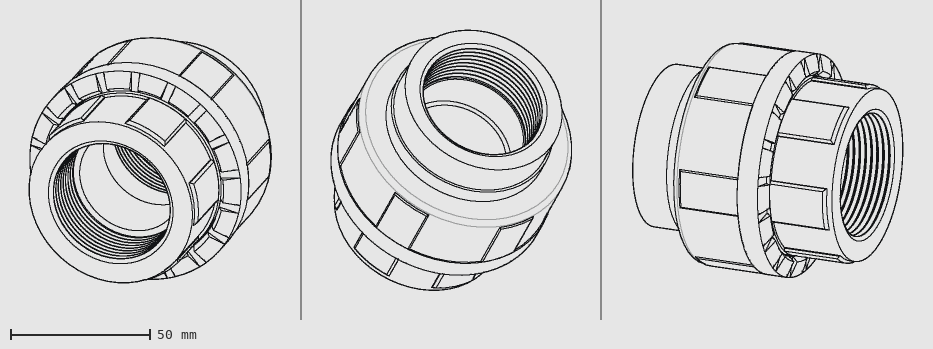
import cadquery as cq
import math

AXIS_YAW = 1.7
AXIS_PITCH = -0.35

SEAT_DIA = 65.7
TAIL_NECK_DIA = 60.8
PADS_PER_RING = 6

COLLAR_FRONT = 24.0
SEAT_FRONT = 27.0
JOINT = 44.2
NUT_SHOULDER = 54.0
NUT_BACK = 58.9
TAIL_STEP = 65.3
TAIL_BACK = 79.0

END_DIA = 62.65
END_BORE_DIA = 38.9
COLLAR_DIA = 64.95
END_PAD_DIA = 64.8
END_PAD_WIDTH = 16.9
END_PAD_BEVEL = 0.8
END_PAD_END_BEVEL = 1.2
END_PAD_FRONT = 2.05
END_PAD_TURN = -6.2

THREAD_MAJOR_DIA = 47.8
THREAD_MINOR_DIA = 44.8
THREAD_END_DIA = 43.8
THREAD_PITCH = 2.3
THREAD_COUNT = 8
THREAD_CREST = 0.3
THREAD_DEPTH = 20.1

NUT_DIA = 80.0
BAND_DIA = 81.0
NUT_PAD_DIA = 80.8
BAND_FRONT = 25.1
BAND_BACK = 33.1
NUT_EDGE_RADIUS = 2.0
NUT_PAD_WIDTH = 14.65
NUT_PAD_BEVEL = 0.4
NUT_PAD_END_BEVEL = 0.65
NUT_PAD_SETBACK = 2.8

TOOTH_TIP_DIA = 69.0
TOOTH_HEIGHT = 2.0
SLOT_COUNT = 18
SLOT_WIDTH = 3.2
FIRST_SLOT_TURN = 90

TAIL_DIA = 59.0
TAIL_BORE_DIA = 42.5

PAD_ROOT = 0.8


def turned(points):
    """Revolve an (r, y) outline about the Y axis."""
    return cq.Workplane("XY").polyline(points).close().revolve(360, (0, 0, 0), (0, 1, 0))


def cylinder(dia, y_start, y_end):
    return turned([(0, y_start), (dia / 2, y_start), (dia / 2, y_end), (0, y_end)])


def pad_ring(base_dia, top_dia, y_plain, y_bevel, end_bevel, width, side_bevel, turn):
    """Raised pads with bevelled sides, plain at y_plain and bevelled at the y_bevel end."""
    base = base_dia / 2
    top = top_dia / 2
    root = base - PAD_ROOT
    inward = math.copysign(end_bevel, y_plain - y_bevel)
    reach = top + PAD_ROOT
    ring = turned([
        (root, y_plain), (top, y_plain), (top, y_bevel + inward), (base, y_bevel), (root, y_bevel),
    ])
    slope = side_bevel / (top - base)
    foot = math.sqrt(base ** 2 - (width / 2) ** 2)

    def half_width(radius):
        return width / 2 - slope * (radius - foot)

    sector = (
        cq.Workplane("XZ", origin=(0, min(y_plain, y_bevel), 0))
        .polyline([
            (0, -half_width(root)), (root, -half_width(root)), (reach, -half_width(reach)),
            (reach, half_width(reach)), (root, half_width(root)), (0, half_width(root)),
        ])
        .close()
        .extrude(-abs(y_plain - y_bevel))
    )
    pad = ring.intersect(sector)
    step = 360 / PADS_PER_RING
    return [pad.rotate((0, 0, 0), (0, 1, 0), turn + i * step) for i in range(PADS_PER_RING)]


def thread_cutter():
    """Threaded socket with its mouth at y = 0: half a groove, then V grooves on a shrinking cone."""
    groove_height = (THREAD_MAJOR_DIA - THREAD_MINOR_DIA) / 2

    def minor_radius(depth):
        return (THREAD_MINOR_DIA - (THREAD_MINOR_DIA - THREAD_END_DIA) * depth / THREAD_DEPTH) / 2

    half_pitch = THREAD_PITCH / 2
    half_crest = THREAD_CREST / 2
    points = [(0, 0), (THREAD_MAJOR_DIA / 2, 0)]
    for i in range(THREAD_COUNT + 1):
        crest = half_pitch + i * THREAD_PITCH
        root = crest + half_pitch
        points.append((minor_radius(crest), crest - half_crest))
        if i < THREAD_COUNT:
            points.append((minor_radius(crest), crest + half_crest))
            points.append((minor_radius(root) + groove_height, root))
    points.append((THREAD_END_DIA / 2, THREAD_DEPTH))
    points.append((0, THREAD_DEPTH))
    return turned(points)


def make_ribbed_end():
    body = (
        cylinder(END_DIA, 0, COLLAR_FRONT)
        .union(cylinder(COLLAR_DIA, COLLAR_FRONT, SEAT_FRONT))
        .union(cylinder(SEAT_DIA, SEAT_FRONT, JOINT))
    )
    pads = pad_ring(
        END_DIA, END_PAD_DIA, COLLAR_FRONT, END_PAD_FRONT, END_PAD_END_BEVEL,
        END_PAD_WIDTH, END_PAD_BEVEL, END_PAD_TURN,
    )
    for pad in pads:
        body = body.union(pad)
    return body.cut(cylinder(END_BORE_DIA, 0, JOINT)).cut(thread_cutter())


def make_nut():
    shell = cylinder(NUT_DIA, BAND_FRONT, NUT_BACK).faces(">Y").edges().fillet(NUT_EDGE_RADIUS)
    band = cylinder(BAND_DIA, BAND_FRONT, BAND_BACK)
    crown = turned([
        (SEAT_DIA / 2, BAND_FRONT), (TOOTH_TIP_DIA / 2, BAND_FRONT - TOOTH_HEIGHT),
        (BAND_DIA / 2, BAND_FRONT), (BAND_DIA / 2, BAND_BACK), (SEAT_DIA / 2, BAND_BACK),
    ])
    slot = cq.Workplane("XY").box(
        BAND_DIA, TOOTH_HEIGHT, SLOT_WIDTH, centered=(False, False, True)
    ).translate((0, BAND_FRONT - TOOTH_HEIGHT, 0))
    slot_step = 360 / SLOT_COUNT
    for i in range(SLOT_COUNT):
        crown = crown.cut(slot.rotate((0, 0, 0), (0, 1, 0), FIRST_SLOT_TURN + i * slot_step))
    body = shell.union(band).union(crown)
    pads = pad_ring(
        NUT_DIA, NUT_PAD_DIA, BAND_BACK, NUT_BACK - NUT_PAD_SETBACK, NUT_PAD_END_BEVEL,
        NUT_PAD_WIDTH, NUT_PAD_BEVEL, 0,
    )
    for pad in pads:
        body = body.union(pad)
    seat = cylinder(SEAT_DIA, BAND_FRONT - TOOTH_HEIGHT, NUT_SHOULDER)
    return body.cut(seat).cut(cylinder(TAIL_NECK_DIA, NUT_SHOULDER, NUT_BACK))


def make_tail():
    body = (
        cylinder(SEAT_DIA, JOINT, NUT_SHOULDER)
        .union(cylinder(TAIL_NECK_DIA, NUT_SHOULDER, TAIL_STEP))
        .union(cylinder(TAIL_DIA, TAIL_STEP, TAIL_BACK))
    )
    thread = thread_cutter().rotate((0, 0, 0), (0, 0, 1), 180).translate((0, TAIL_BACK, 0))
    return body.cut(cylinder(TAIL_BORE_DIA, JOINT, TAIL_BACK)).cut(thread)


def tilted(body):
    middle = (0, TAIL_BACK / 2, 0)
    yawed = body.rotate(middle, (0, TAIL_BACK / 2, 1), AXIS_YAW)
    return yawed.rotate(middle, (1, TAIL_BACK / 2, 0), AXIS_PITCH)


ribbed_end = tilted(make_ribbed_end())
nut = tilted(make_nut())
tail = tilted(make_tail())

result = cq.Compound.makeCompound([ribbed_end.val(), nut.val(), tail.val()])